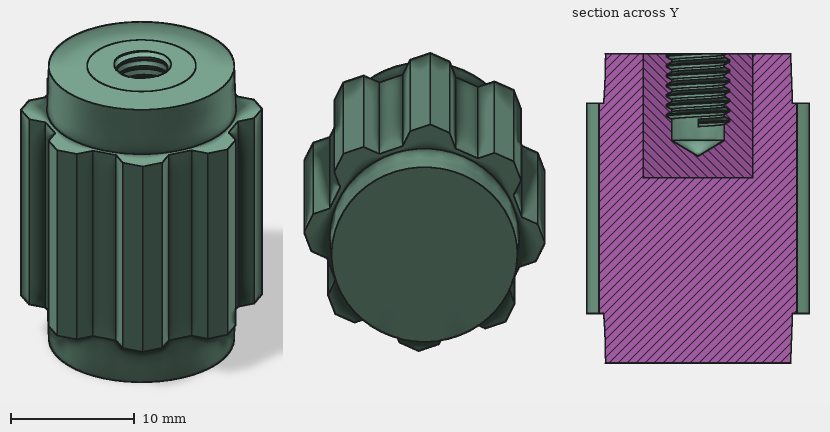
import cadquery as cq
import math

total_height = 25.0
collar_height = 4.0
collar_end_diameter = 15.0
collar_base_diameter = 15.3
body_width = 18.0
groove_count = 8
groove_mouth_width = 4.0
groove_floor_width = 2.0
groove_depth = 1.0

insert_diameter = 8.8
insert_length = 10.0

thread_minor_diameter = 4.22
thread_major_diameter = 5.12
thread_pitch = 0.8
thread_turns = 7
thread_start_angle = 90.0
hole_depth = 7.0
drill_point_angle = 118.0
crest_width = thread_pitch / 4
root_width = thread_pitch / 8
thread_overlap = 0.02

top_z = total_height / 2
body_height = total_height - 2 * collar_height
body_top_z = body_height / 2


def make_body():
    """Octagonal prism with a trapezoidal groove along the middle of each flat."""
    flat_distance = body_width / 2
    floor_distance = flat_distance - groove_depth
    corner_diameter = body_width / math.cos(math.pi / groove_count)
    body = (
        cq.Workplane("XY", origin=(0, 0, -body_top_z))
        .transformed(rotate=(0, 0, 180.0 / groove_count))
        .polygon(groove_count, corner_diameter)
        .extrude(body_height)
    )
    groove = (
        cq.Workplane("XY", origin=(0, 0, -body_top_z))
        .polyline([
            (flat_distance, -groove_mouth_width / 2),
            (flat_distance, groove_mouth_width / 2),
            (floor_distance, groove_floor_width / 2),
            (floor_distance, -groove_floor_width / 2),
        ])
        .close()
        .extrude(body_height)
    )
    for index in range(groove_count):
        body = body.cut(groove.rotate((0, 0, 0), (0, 0, 1), index * 360.0 / groove_count))
    return body


def make_collared_core():
    """Tapered core whose ends stand out of the body as the two collars."""
    end_radius = collar_end_diameter / 2
    base_radius = collar_base_diameter / 2
    return (
        cq.Workplane("XZ")
        .polyline([
            (0, -top_z),
            (end_radius, -top_z),
            (base_radius, -body_top_z),
            (base_radius, body_top_z),
            (end_radius, top_z),
            (0, top_z),
        ])
        .close()
        .revolve(360, (0, 0, 0), (0, 1, 0))
    )


def make_insert_blank():
    """Plain plug, also the shape of its recess in the housing."""
    return (
        cq.Workplane("XY", origin=(0, 0, top_z - insert_length))
        .circle(insert_diameter / 2)
        .extrude(insert_length)
    )


def make_drilled_hole():
    """Blind hole with a conical drill point."""
    radius = thread_minor_diameter / 2
    shoulder_z = top_z - hole_depth
    point_z = shoulder_z - radius / math.tan(math.radians(drill_point_angle / 2))
    return (
        cq.Workplane("XZ")
        .polyline([(0, top_z), (radius, top_z), (radius, shoulder_z), (0, point_z)])
        .close()
        .revolve(360, (0, 0, 0), (0, 1, 0))
    )


def make_thread_groove():
    """Right-handed helical V groove that runs out through the mouth of the hole."""
    minor_radius = thread_minor_diameter / 2
    major_radius = thread_major_diameter / 2
    flank_slope = (thread_pitch - crest_width - root_width) / 2 / (major_radius - minor_radius)
    mouth_half = (thread_pitch - crest_width) / 2 + thread_overlap * flank_slope
    root_half = root_width / 2
    groove_length = (thread_turns + 1) * thread_pitch
    helix = cq.Wire.makeHelix(thread_pitch, groove_length, minor_radius)
    groove = (
        cq.Workplane("XZ")
        .polyline([
            (minor_radius - thread_overlap, -mouth_half),
            (major_radius, -root_half),
            (major_radius, root_half),
            (minor_radius - thread_overlap, mouth_half),
        ])
        .close()
        .sweep(cq.Workplane(helix), isFrenet=True)
    )
    start_z = top_z - thread_turns * thread_pitch
    return groove.rotate((0, 0, 0), (0, 0, 1), thread_start_angle).translate((0, 0, start_z))


insert_blank = make_insert_blank()
housing = make_body().union(make_collared_core()).cut(insert_blank)
right_handed_insert = insert_blank.cut(make_drilled_hole()).cut(make_thread_groove())
insert = right_handed_insert.mirror("YZ")

result = cq.Compound.makeCompound([housing.solids().val(), insert.solids().val()])